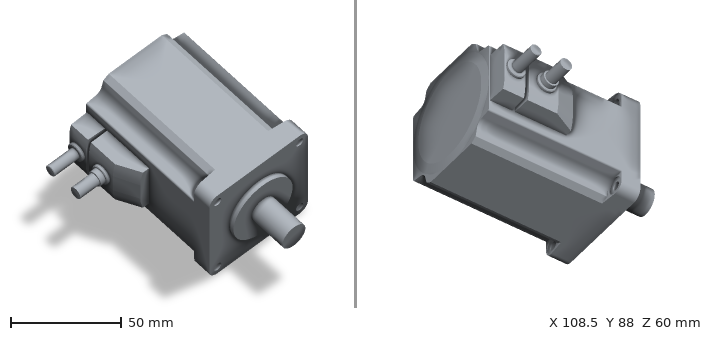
import cadquery as cq
import math

side = 60.0
half_side = side / 2
corner_radius = 5.0
mount_face_x = 84.5
pilot_length = 3.0
pilot_diameter = 36.0
shaft_diameter = 14.0
shaft_end_x = 108.5

overlap = 1.0

cone_height = 0.7
cone_top_radius = 25.0

hole_offset = 25.0
hole_diameter = 4.5
spotface_diameter = 9.2
spotface_floor_x = 74.5
groove_radius = spotface_diameter / 2
groove_start_y = 16.2
groove_bevel_y = 19.5
groove_bevel_z = 27.9
groove_bevel_rounding = 0.3
groove_lip_y = 29.3
groove_lip_z = 19.7
groove_end_z = 18.75
groove_lip_middle_angle = math.radians(60)
groove_entry_angle = 192.0
groove_exit_angle = 263.0
groove_wall_x = 74.2
groove_wall_slope = math.tan(math.radians(5.3))

cover_half_width = 13.6
cover_flat_half_width = 5.4
cover_edge_y = -40.0
cover_top_y = -41.2
crown_bevel_run = 0.4
crown_bevel_drop = 0.07
cover_root_y = -half_side + overlap

small_cover_rear_x = 1.3
small_cover_front_x = 13.5
small_cover_draft = math.radians(2.0)

large_cover_rear_x = 15.1
large_cover_knee_x = 31.5
large_cover_front_x = 43.5
large_cover_draft = math.radians(0.5)
slope_end_edge_y = -33.7
slope_end_top_y = -35.3
slope_end_flat_half_width = 5.05

collar_end_y = -42.9
collar_chamfer = 0.4
small_cable_x = 7.5
small_cable_diameter = 6.0
small_cable_end_y = -58.0
small_cable_chamfer = 0.3
small_collar_diameter = 10.0
large_cable_x = 24.3
large_cable_diameter = 6.5
large_cable_end_y = -57.6
large_collar_diameter = 10.5
large_sleeve_diameter = 8.2
large_sleeve_end_y = -45.8


def x_cylinder(start_x, end_x, diameter):
    return cq.Workplane("YZ", origin=(start_x, 0, 0)).circle(diameter / 2).extrude(end_x - start_x)


def body():
    block = (
        cq.Workplane("YZ", origin=(cone_height, 0, 0))
        .rect(side, side)
        .extrude(mount_face_x - cone_height)
        .edges("|X")
        .fillet(corner_radius)
    )
    rear_cone = (
        cq.Workplane("XY")
        .moveTo(0, 0)
        .lineTo(0, cone_top_radius)
        .lineTo(cone_height, half_side)
        .lineTo(cone_height, 0)
        .close()
        .revolve(360, (0, 0, 0), (1, 0, 0))
    )
    pilot_end_x = mount_face_x + pilot_length
    pilot = x_cylinder(mount_face_x, pilot_end_x, pilot_diameter)
    shaft = x_cylinder(pilot_end_x, shaft_end_x, shaft_diameter)
    return block.union(rear_cone).union(pilot).union(shaft)


def groove_point(angle_degrees):
    angle = math.radians(angle_degrees)
    return (
        hole_offset + groove_radius * math.cos(angle),
        hole_offset + groove_radius * math.sin(angle),
    )


def corner_cutter():
    """Groove, spotface and hole of the +Y +Z corner."""
    outside = half_side + overlap
    lip_middle = (
        groove_lip_y + (half_side - groove_lip_y) * math.sin(groove_lip_middle_angle),
        groove_end_z + (groove_lip_z - groove_end_z) * math.cos(groove_lip_middle_angle),
    )
    groove = (
        cq.Workplane("YZ")
        .moveTo(groove_start_y, half_side)
        .lineTo(groove_bevel_y, groove_bevel_z)
        .lineTo(*groove_point(groove_entry_angle))
        .threePointArc(
            groove_point((groove_entry_angle + groove_exit_angle) / 2),
            groove_point(groove_exit_angle),
        )
        .lineTo(groove_lip_y, groove_lip_z)
        .threePointArc(lip_middle, (half_side, groove_end_z))
        .lineTo(outside, groove_end_z)
        .lineTo(outside, outside)
        .lineTo(groove_start_y, outside)
        .close()
        .extrude(mount_face_x)
        .edges(cq.selectors.NearestToPointSelector((mount_face_x / 2, groove_bevel_y, groove_bevel_z)))
        .fillet(groove_bevel_rounding)
    )
    length_limit = (
        cq.Workplane("XY")
        .moveTo(0, 0)
        .lineTo(groove_wall_x - half_side * groove_wall_slope, 0)
        .lineTo(groove_wall_x + overlap * groove_wall_slope, outside)
        .lineTo(0, outside)
        .close()
        .extrude(outside)
    )
    spotface = x_cylinder(0, spotface_floor_x, spotface_diameter)
    hole = x_cylinder(0, mount_face_x, hole_diameter)
    bores = spotface.union(hole).translate((0, hole_offset, hole_offset))
    return groove.intersect(length_limit).union(bores)


def cover_section(plane_x, edge_y, top_y, flat_half_width):
    """Wire across X: a box whose outer side is flat in the middle and falls off in tangent arcs."""
    run = cover_half_width - flat_half_width
    drop = edge_y - top_y
    arc_radius = (run**2 + drop**2) / (2 * drop)
    middle_z = flat_half_width + run / 2
    middle_y = top_y + arc_radius - math.sqrt(arc_radius**2 - (run / 2) ** 2)
    return (
        cq.Workplane("YZ", origin=(plane_x, 0, 0))
        .moveTo(cover_root_y, -cover_half_width)
        .lineTo(edge_y, -cover_half_width)
        .threePointArc((middle_y, -middle_z), (top_y, -flat_half_width))
        .lineTo(top_y, flat_half_width)
        .threePointArc((middle_y, middle_z), (edge_y, cover_half_width))
        .lineTo(cover_root_y, cover_half_width)
        .close()
    )


def draft_limit(rear_x, front_x, rear_draft, front_draft):
    """Block whose X faces lean inwards away from the body, with its outer edges slightly bevelled."""
    bevel_y = cover_top_y + crown_bevel_drop
    depth = -half_side - bevel_y
    rear_lean = math.tan(rear_draft)
    front_lean = math.tan(front_draft)
    return (
        cq.Workplane("XY", origin=(0, 0, -cover_half_width))
        .moveTo(rear_x - overlap * rear_lean, cover_root_y)
        .lineTo(rear_x + depth * rear_lean, bevel_y)
        .lineTo(rear_x + depth * rear_lean + crown_bevel_run, cover_top_y)
        .lineTo(front_x - depth * front_lean - crown_bevel_run, cover_top_y)
        .lineTo(front_x - depth * front_lean, bevel_y)
        .lineTo(front_x + overlap * front_lean, cover_root_y)
        .close()
        .extrude(2 * cover_half_width)
    )


def small_cover():
    crowned = cover_section(0, cover_edge_y, cover_top_y, cover_flat_half_width).extrude(large_cover_rear_x)
    limit = draft_limit(small_cover_rear_x, small_cover_front_x, small_cover_draft, small_cover_draft)
    return crowned.intersect(limit)


def large_cover():
    level_start_x = large_cover_rear_x - overlap
    level = cover_section(level_start_x, cover_edge_y, cover_top_y, cover_flat_half_width).extrude(
        large_cover_knee_x - level_start_x
    )
    knee = cover_section(large_cover_knee_x, cover_edge_y, cover_top_y, cover_flat_half_width)
    slope_end = cover_section(
        large_cover_front_x, slope_end_edge_y, slope_end_top_y, slope_end_flat_half_width
    )
    slope = cq.Workplane(
        cq.Solid.makeLoft([knee.wires().val(), slope_end.wires().val()], True)
    )
    limit = draft_limit(large_cover_rear_x, large_cover_front_x, large_cover_draft, 0)
    return level.union(slope).intersect(limit)


def cable_stage(center_x, end_y, diameter):
    """Round stage running from inside the cover out to end_y."""
    return (
        cq.Workplane("XZ", origin=(center_x, cover_edge_y, 0))
        .circle(diameter / 2)
        .extrude(cover_edge_y - end_y)
    )


def cable_collar(center_x, diameter):
    return cable_stage(center_x, collar_end_y, diameter).faces("<Y").chamfer(collar_chamfer)


def small_cable():
    collar = cable_collar(small_cable_x, small_collar_diameter)
    cable = cable_stage(small_cable_x, small_cable_end_y, small_cable_diameter)
    return collar.union(cable.faces("<Y").chamfer(small_cable_chamfer))


def large_cable():
    collar = cable_collar(large_cable_x, large_collar_diameter)
    sleeve = cable_stage(large_cable_x, large_sleeve_end_y, large_sleeve_diameter)
    cable = cable_stage(large_cable_x, large_cable_end_y, large_cable_diameter)
    return collar.union(sleeve).union(cable)


motor = body()
upper_right = corner_cutter()
upper_pair = upper_right.union(upper_right.mirror("XZ"))
motor = motor.cut(upper_pair).cut(upper_pair.mirror("XY"))
for attachment in (small_cover(), large_cover(), small_cable(), large_cable()):
    motor = motor.union(attachment)

result = motor